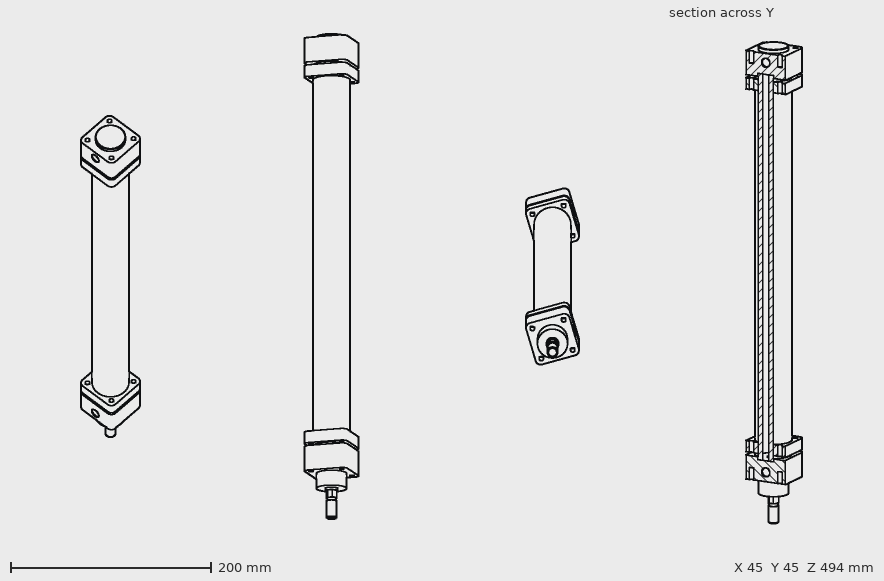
import cadquery as cq

total_length = 494.0
bottom_z = -total_length / 2
top_z = total_length / 2

block_side = 45.0
corner_radius = 5.5
head_height = 25.0
flange_height = 12.0
head_gap = 3.0
bolt_spacing = 32.5
bolt_hole_diameter = 4.5
head_bolt_depth = 12.5

boss_diameter = 30.0
boss_chamfer = 0.5
rear_boss_height = 4.0
front_boss_height = 15.5
port_diameter = 9.0
port_depth = 7.5
port_chamfer = 0.5
port_offset = 10.0

tube_diameter = 37.0
tube_wall = 2.0
tube_socket_depth = 3.0

rod_diameter = 12.5
thread_diameter = 10.5
relief_diameter = 9.0
thread_length = 18.0
thread_chamfer = 1.0
relief_length = 3.0
neck_diameter = 11.0
neck_length = 7.5
neck_across_flats = 10.0
collar_length = 2.5

rear_head_top = top_z - rear_boss_height
rear_head_bottom = rear_head_top - head_height
rear_flange_top = rear_head_bottom - head_gap
rear_flange_bottom = rear_flange_top - flange_height

relief_bottom = bottom_z + thread_length
neck_bottom = relief_bottom + relief_length
collar_bottom = neck_bottom + neck_length
front_boss_bottom = collar_bottom + collar_length
front_head_bottom = front_boss_bottom + front_boss_height
front_head_top = front_head_bottom + head_height
front_flange_bottom = front_head_top + head_gap

tube_bottom = front_head_top - tube_socket_depth
tube_top = rear_head_bottom + tube_socket_depth
tube_bore_diameter = tube_diameter - 2 * tube_wall


def cylinder(diameter, z_low, z_high):
    """Solid cylinder on the Z axis between two heights."""
    return cq.Workplane("XY").workplane(offset=z_low).circle(diameter / 2).extrude(z_high - z_low)


def square_block(z_low, height):
    """Square block with rounded vertical corners."""
    return (
        cq.Workplane("XY")
        .workplane(offset=z_low)
        .rect(block_side, block_side)
        .extrude(height)
        .edges("|Z")
        .fillet(corner_radius)
    )


def bolt_holes(z_low, depth):
    """Cutter for the four corner bolt holes, rising from the given height."""
    return (
        cq.Workplane("XY")
        .workplane(offset=z_low)
        .rect(bolt_spacing, bolt_spacing, forConstruction=True)
        .vertices()
        .circle(bolt_hole_diameter / 2)
        .extrude(depth)
    )


def port(z_centre):
    """Cutter for a blind air port in the -Y face, with a countersunk mouth."""
    mouth = cq.Workplane("XZ", origin=(0, -block_side / 2, z_centre))
    bore = mouth.circle(port_diameter / 2).extrude(-port_depth)
    countersink = mouth.circle(port_diameter / 2 + port_chamfer).extrude(-port_chamfer, taper=45)
    return bore.union(countersink)


def make_rear_head():
    """Closed end block with a chamfered locating boss, a tube socket and a port."""
    boss = cylinder(boss_diameter, rear_head_top, top_z).faces(">Z").chamfer(boss_chamfer)
    head = square_block(rear_head_bottom, head_height).union(boss)
    head = head.cut(cylinder(tube_diameter, rear_head_bottom, tube_top))
    head = head.cut(bolt_holes(rear_head_top - head_bolt_depth, head_bolt_depth))
    return head.cut(port(rear_head_top - port_offset))


def make_front_head():
    """Rod-end block with a guide boss, a tube socket, a rod bore and a port."""
    boss = cylinder(boss_diameter, front_boss_bottom, front_head_bottom)
    head = square_block(front_head_bottom, head_height).union(boss)
    head = head.cut(cylinder(tube_diameter, tube_bottom, front_head_top))
    head = head.cut(bolt_holes(front_head_bottom, head_bolt_depth))
    head = head.cut(port(front_head_bottom + port_offset))
    return head.cut(cylinder(rod_diameter, front_boss_bottom, tube_bottom))


def make_flange(z_low):
    """Square flange fitted around the tube, with through bolt holes."""
    flange = square_block(z_low, flange_height).cut(bolt_holes(z_low, flange_height))
    return flange.cut(cylinder(tube_diameter, z_low, z_low + flange_height))


def make_tube():
    """Plain barrel seated in both heads."""
    return cylinder(tube_diameter, tube_bottom, tube_top).cut(
        cylinder(tube_bore_diameter, tube_bottom, tube_top)
    )


def make_rod():
    """Piston rod with a flatted neck, a thread relief and a chamfered threaded end."""
    thread = cylinder(thread_diameter, bottom_z, relief_bottom).faces("<Z").chamfer(thread_chamfer)
    relief = cylinder(relief_diameter, relief_bottom, neck_bottom)
    flats_envelope = (
        cq.Workplane("XY")
        .workplane(offset=neck_bottom)
        .rect(neck_diameter, neck_across_flats)
        .extrude(neck_length)
    )
    neck = cylinder(neck_diameter, neck_bottom, collar_bottom).intersect(flats_envelope)
    shaft = cylinder(rod_diameter, collar_bottom, tube_bottom)
    return thread.union(relief).union(neck).union(shaft)


rear_head = make_rear_head()
front_head = make_front_head()
tube = make_tube()
rod = make_rod()
flanges = [make_flange(z_low) for z_low in (front_flange_bottom, rear_flange_bottom)]

result = cq.Compound.makeCompound([
    rear_head.val(),
    front_head.val(),
    tube.val(),
    rod.val(),
    *[flange.val() for flange in flanges],
])